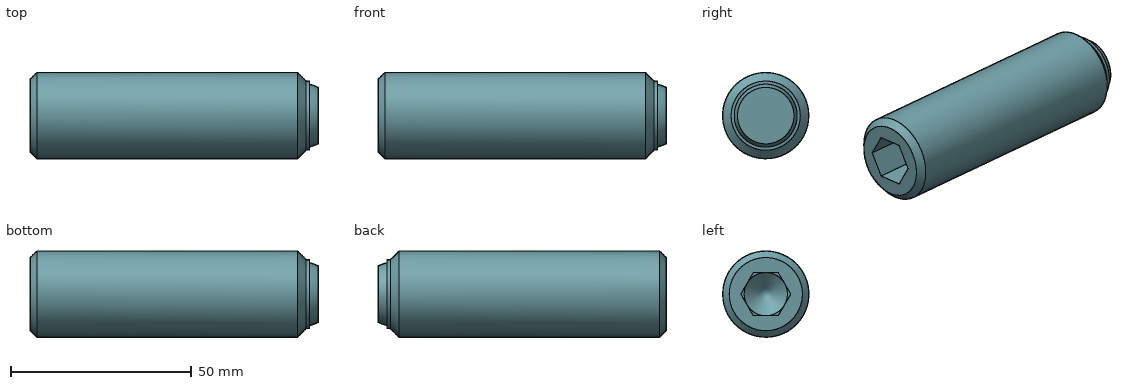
import cadquery as cq
import math

length = 80.0
body_radius = 12.0
socket_end_chamfer = 1.8

nose_taper = 2.4
land_length = 1.0
land_radius = body_radius - nose_taper

ball_projection = 2.4
ball_radius = 9.0
ball_flat_radius = 7.8

socket_across_flats = 12.0
socket_depth = 15.0
socket_cone_angle = 100.0

socket_face_x = -length / 2
ball_flat_x = length / 2
land_end_x = ball_flat_x - ball_projection
land_start_x = land_end_x - land_length
taper_start_x = land_start_x - nose_taper

ball_center_x = ball_flat_x - math.sqrt(ball_radius**2 - ball_flat_radius**2)


def ball_surface_radius(x):
    """Distance from the X axis to the ball surface at position x."""
    return math.sqrt(ball_radius**2 - (x - ball_center_x)**2)


def revolve_about_x(profile):
    return profile.close().revolve(360, (0, 0, 0), (1, 0, 0))


def make_body():
    ball_middle_x = (land_end_x + ball_flat_x) / 2
    profile = (
        cq.Workplane("XY")
        .moveTo(socket_face_x, 0)
        .lineTo(socket_face_x, body_radius - socket_end_chamfer)
        .lineTo(socket_face_x + socket_end_chamfer, body_radius)
        .lineTo(taper_start_x, body_radius)
        .lineTo(land_start_x, land_radius)
        .lineTo(land_end_x, land_radius)
        .lineTo(land_end_x, ball_surface_radius(land_end_x))
        .threePointArc(
            (ball_middle_x, ball_surface_radius(ball_middle_x)),
            (ball_flat_x, ball_flat_radius),
        )
        .lineTo(ball_flat_x, 0)
    )
    return revolve_about_x(profile)


def make_socket():
    across_corners = socket_across_flats / math.cos(math.pi / 6)
    hexagon = (
        cq.Workplane("YZ", origin=(socket_face_x, 0, 0))
        .polygon(6, across_corners)
        .extrude(socket_depth)
    )
    cone_radius = socket_across_flats / 2
    cone_depth = cone_radius / math.tan(math.radians(socket_cone_angle / 2))
    cone_base_x = socket_face_x + socket_depth
    cone = revolve_about_x(
        cq.Workplane("XY")
        .moveTo(cone_base_x, 0)
        .lineTo(cone_base_x, cone_radius)
        .lineTo(cone_base_x + cone_depth, 0)
    )
    return hexagon.union(cone)


result = make_body().cut(make_socket())